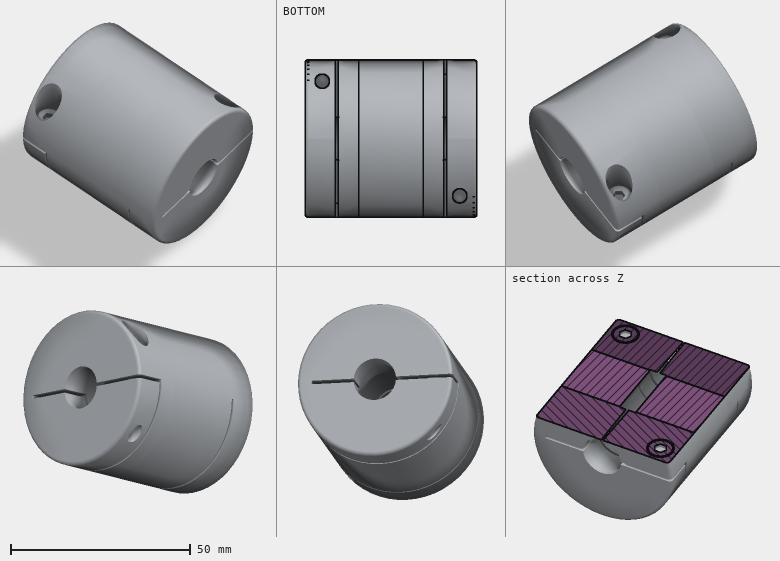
import cadquery as cq

outer_diameter = 44.0
outer_radius = outer_diameter / 2
coupling_length = 48.0
hub_length = 15.0
sleeve_length = coupling_length - 2 * hub_length
rim_radius = 1.0
shaft_bore_diameter = 12.0
sleeve_bore_diameter = 13.0

clamp_slit_width = 1.0
radial_slit_width = 0.8
radial_slit_start = 8.5
radial_slit_end = radial_slit_start + radial_slit_width
clamp_slit_depth = 18.0

screw_from_face = 4.8
screw_from_axis = 16.0
screw_diameter = 4.0
screw_length = 12.0
clearance_diameter = 4.5
head_diameter = 7.0
head_height = 4.0
head_chamfer = 0.5
socket_across_flats = 3.0
socket_depth = 2.0
counterbore_diameter = 7.5
seat_height = 3.0

cut_length = 2 * outer_diameter


def x_cylinder(diameter, start, length):
    """Cylinder on the coupling axis, beginning at X = start."""
    end_plane = cq.Plane(origin=(start, 0, 0), xDir=(0, 0, -1), normal=(1, 0, 0))
    return cq.Workplane(end_plane).circle(diameter / 2).extrude(length)


def screw_cylinder(screw_x, diameter, start, length):
    """Cylinder on the screw axis, beginning at Z = start."""
    centre = (screw_x, -screw_from_axis, start)
    return cq.Workplane("XY", origin=centre).circle(diameter / 2).extrude(length)


def make_screw(screw_x):
    """Socket head clamp screw, head up."""
    head = screw_cylinder(screw_x, head_diameter, seat_height, head_height)
    head = head.faces(">Z").edges().chamfer(head_chamfer)
    socket_floor = (screw_x, -screw_from_axis, seat_height + head_height - socket_depth)
    socket = (
        cq.Workplane("XY", origin=socket_floor)
        .polygon(6, socket_across_flats, circumscribed=True)
        .extrude(socket_depth)
    )
    shank = screw_cylinder(screw_x, screw_diameter, seat_height - screw_length, screw_length)
    return head.cut(socket).union(shank)


def make_hub():
    """Clamp hub at the -X end, in one piece with its clamp screw."""
    end_x = -coupling_length / 2
    screw_x = end_x + screw_from_face

    hub = x_cylinder(outer_diameter, end_x, hub_length)
    hub = hub.faces("<X").edges().fillet(rim_radius)
    hub = hub.cut(x_cylinder(shaft_bore_diameter, end_x, hub_length))

    clamp_slit = cq.Workplane("XY").box(
        radial_slit_end, outer_radius + clamp_slit_depth, clamp_slit_width, centered=(False, False, True)
    )
    hub = hub.cut(clamp_slit.translate((end_x, -outer_radius, 0)))

    radial_slit = cq.Workplane("XY").box(
        radial_slit_width, outer_diameter, outer_radius, centered=(False, True, False)
    )
    hub = hub.cut(radial_slit.translate((end_x + radial_slit_start, 0, -outer_radius)))

    hub = hub.cut(screw_cylinder(screw_x, screw_diameter, -cut_length, cut_length))
    hub = hub.cut(screw_cylinder(screw_x, clearance_diameter, 0, cut_length))
    hub = hub.cut(screw_cylinder(screw_x, counterbore_diameter, seat_height, cut_length))
    return hub.union(make_screw(screw_x))


sleeve = x_cylinder(outer_diameter, -sleeve_length / 2, sleeve_length)
sleeve = sleeve.cut(x_cylinder(sleeve_bore_diameter, -sleeve_length / 2, sleeve_length))

hubs = [make_hub().rotate((0, 0, 0), (0, 0, 1), angle) for angle in (0, 180)]

result = cq.Compound.makeCompound([sleeve.val(), *[hub.val() for hub in hubs]])